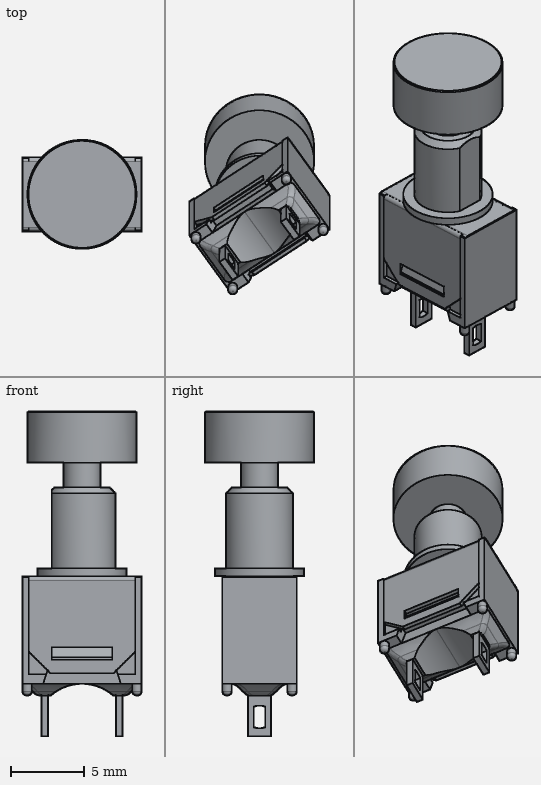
import cadquery as cq


TOTAL_HEIGHT = 22.16
BODY_WIDTH = 8.13
BODY_DEPTH = 5.08
BODY_TOP = 7.35

FRAME_TOP_THICKNESS = 0.08
FRAME_PLATE_THICKNESS = 0.28
FRAME_BEND_RADIUS = 0.3
FRAME_PLATE_WIDTH = 7.28
FRAME_PLATE_BOTTOM = 0.74
FRAME_CORNER_CUT = 1.47
WINDOW_WIDTH = 4.1
WINDOW_BOTTOM = 1.66
WINDOW_HEIGHT = 0.83

LIP_TOP = 0.67
LATCH_NOSE_HEIGHT = 0.15
LATCH_DEPTH = 0.24
NOTCH_DEPTH = 0.75
NOTCH_HEIGHT = 1.0
NOTCH_HALF_WIDTH_BOTTOM = 2.65
NOTCH_HALF_WIDTH_TOP = 2.33
PEG_DIAMETER = 0.65
PEG_LENGTH = 0.8
PEG_TIP_RADIUS = 0.3

MOUND_TOP_SECTION = (0.0, 3.9, 1.8)
MOUND_FLARE_SECTION = (0.2, 3.68, 1.45)
MOUND_STEP_SECTION = (0.49, 3.38, 1.17)
MOUND_BULGE_SECTION = (0.7, 3.17, 0.93)
MOUND_BOTTOM_SECTION = (0.8, 2.9, 0.8)
MOUND_CORNER_RADIUS = 0.33
ARCH_RADIUS = 3.25

TERMINAL_PITCH = 5.08
TERMINAL_THICKNESS = 0.46
TERMINAL_WIDTH = 1.57
TERMINAL_BOTTOM = -3.58
TERMINAL_INSERTION = 2.0
SLOT_WIDTH = 0.76
SLOT_BOTTOM = -3.02
SLOT_TOP = -1.49
SLOT_END_RISE = 0.07

FLANGE_DIAMETER = 6.1
FLANGE_THICKNESS = 0.53
BUSHING_DIAMETER = 4.6
BUSHING_TOP = 13.4
BUSHING_CHAMFER = 0.42
BUSHING_FLAT_OFFSET = 2.075

PLUNGER_DIAMETER = 2.54
CAP_DIAMETER = 7.45
CAP_HEIGHT = 3.5
CAP_CHAMFER = 0.08
CAP_SOCKET_DEPTH = 1.75

CAP_TOP = TOTAL_HEIGHT + TERMINAL_BOTTOM
FLANGE_TOP = BODY_TOP + FLANGE_THICKNESS
BASE_TOP = BODY_TOP - FRAME_TOP_THICKNESS
FRONT_Y = -BODY_DEPTH / 2
RECESS_Y = FRONT_Y + FRAME_PLATE_THICKNESS
CAP_BOTTOM = CAP_TOP - CAP_HEIGHT
SIDES = (-1, 1)


def block(width, depth, bottom, top):
    """Upright box centred on the Z axis."""
    return cq.Workplane("XY").workplane(offset=bottom).rect(width, depth).extrude(top - bottom)


def front_plate_blank():
    """Front plate outline with its two lower corners cut at 45 degrees."""
    half = FRAME_PLATE_WIDTH / 2
    return (
        cq.Workplane("XZ", origin=(0, RECESS_Y, 0))
        .moveTo(-half, BASE_TOP)
        .lineTo(-half, FRAME_PLATE_BOTTOM + FRAME_CORNER_CUT)
        .lineTo(-half + FRAME_CORNER_CUT, FRAME_PLATE_BOTTOM)
        .lineTo(half - FRAME_CORNER_CUT, FRAME_PLATE_BOTTOM)
        .lineTo(half, FRAME_PLATE_BOTTOM + FRAME_CORNER_CUT)
        .lineTo(half, BASE_TOP)
        .close()
        .extrude(FRAME_PLATE_THICKNESS)
    )


def window_prism():
    """Latch window through the front plate."""
    return (
        cq.Workplane("XY")
        .box(WINDOW_WIDTH, FRAME_PLATE_THICKNESS, WINDOW_HEIGHT, centered=(True, False, False))
        .translate((0, FRONT_Y, WINDOW_BOTTOM))
    )


def latch():
    """Wedge on the base that fills the window: a slope running out to a flat nose."""
    return (
        cq.Workplane("YZ", origin=(-WINDOW_WIDTH / 2, 0, 0))
        .moveTo(RECESS_Y, WINDOW_BOTTOM)
        .lineTo(RECESS_Y - LATCH_DEPTH, WINDOW_BOTTOM)
        .lineTo(RECESS_Y - LATCH_DEPTH, WINDOW_BOTTOM + LATCH_NOSE_HEIGHT)
        .lineTo(RECESS_Y, WINDOW_BOTTOM + WINDOW_HEIGHT)
        .close()
        .extrude(WINDOW_WIDTH)
    )


def lip_notch():
    """Tapered gap in the front lip of the base."""
    return (
        cq.Workplane("XZ", origin=(0, FRONT_Y + NOTCH_DEPTH, 0))
        .moveTo(-NOTCH_HALF_WIDTH_BOTTOM, 0)
        .lineTo(NOTCH_HALF_WIDTH_BOTTOM, 0)
        .lineTo(NOTCH_HALF_WIDTH_TOP, NOTCH_HEIGHT)
        .lineTo(-NOTCH_HALF_WIDTH_TOP, NOTCH_HEIGHT)
        .close()
        .extrude(NOTCH_DEPTH)
    )


def on_both_faces(shape):
    """The shape at the front together with its copy turned round to the back."""
    return shape.union(shape.rotate((0, 0, 0), (0, 0, 1), 180))


def mound_section(depth, half_width, half_depth):
    """Rounded rectangle at a given depth below the base."""
    outline = cq.Sketch().rect(2 * half_width, 2 * half_depth).vertices().fillet(MOUND_CORNER_RADIUS)
    return outline.moved(cq.Location(cq.Vector(0, 0, -depth)))


def mound_tier(*sections):
    """Smooth solid through a run of mound sections."""
    return cq.Workplane("XY").placeSketch(*[mound_section(*section) for section in sections]).loft()


def mound():
    """Two-tier sealing mound with an arch between the terminals."""
    upper_tier = mound_tier(MOUND_TOP_SECTION, MOUND_FLARE_SECTION, MOUND_STEP_SECTION)
    lower_tier = mound_tier(MOUND_STEP_SECTION, MOUND_BULGE_SECTION, MOUND_BOTTOM_SECTION)
    arch = (
        cq.Workplane("XZ", origin=(0, BODY_DEPTH / 2, 0))
        .center(0, -ARCH_RADIUS)
        .circle(ARCH_RADIUS)
        .extrude(BODY_DEPTH)
    )
    return upper_tier.union(lower_tier).cut(arch)


def peg(x, y):
    """Locating peg with a rounded tip."""
    return (
        cq.Workplane("XY", origin=(x, y, -PEG_LENGTH))
        .circle(PEG_DIAMETER / 2)
        .extrude(PEG_LENGTH)
        .faces("<Z")
        .edges()
        .fillet(PEG_TIP_RADIUS)
    )


def make_terminal(x):
    """Flat solder terminal with a wire slot."""
    blade = block(TERMINAL_THICKNESS, TERMINAL_WIDTH, TERMINAL_BOTTOM, TERMINAL_INSERTION)
    half = SLOT_WIDTH / 2
    slot = (
        cq.Workplane("YZ", origin=(-TERMINAL_THICKNESS / 2, 0, 0))
        .moveTo(-half, SLOT_BOTTOM + SLOT_END_RISE)
        .threePointArc((0, SLOT_BOTTOM), (half, SLOT_BOTTOM + SLOT_END_RISE))
        .lineTo(half, SLOT_TOP - SLOT_END_RISE)
        .threePointArc((0, SLOT_TOP), (-half, SLOT_TOP - SLOT_END_RISE))
        .close()
        .extrude(TERMINAL_THICKNESS)
    )
    return blade.cut(slot).translate((x, 0, 0))


def make_frame():
    """Top sheet with bent edges and a plate down the front and back."""
    top_sheet = block(BODY_WIDTH, BODY_DEPTH, BASE_TOP, BODY_TOP)
    plate = front_plate_blank().cut(window_prism())
    bend_envelope = block(BODY_WIDTH, BODY_DEPTH, 0, BODY_TOP).edges("|X and >Z").fillet(FRAME_BEND_RADIUS)
    return top_sheet.union(on_both_faces(plate)).intersect(bend_envelope)


def make_base(terminals):
    """Insulating base with recesses for the frame plates, latches, pegs and sealing mound."""
    base = block(BODY_WIDTH, BODY_DEPTH, 0, BASE_TOP)
    plate_recess = (
        cq.Workplane("XY")
        .box(FRAME_PLATE_WIDTH, FRAME_PLATE_THICKNESS, BASE_TOP - LIP_TOP, centered=(True, False, False))
        .translate((0, FRONT_Y, LIP_TOP))
    )
    base = base.cut(on_both_faces(plate_recess)).cut(on_both_faces(lip_notch()))
    base = base.union(on_both_faces(latch())).union(mound())
    peg_x = (BODY_WIDTH - PEG_DIAMETER) / 2
    peg_y = (BODY_DEPTH - PEG_DIAMETER) / 2
    for side_x in SIDES:
        for side_y in SIDES:
            base = base.union(peg(side_x * peg_x, side_y * peg_y))
    for terminal in terminals:
        base = base.cut(terminal)
    return base


def make_bushing():
    """Flanged bushing with one flat on the -X side and a bore for the plunger."""
    barrel = (
        cq.Workplane("XY", origin=(0, 0, FLANGE_TOP))
        .circle(BUSHING_DIAMETER / 2)
        .extrude(BUSHING_TOP - FLANGE_TOP)
        .faces(">Z")
        .chamfer(BUSHING_CHAMFER)
    )
    flat_cut = block(BUSHING_DIAMETER, BUSHING_DIAMETER, FLANGE_TOP, BUSHING_TOP).translate(
        (-BUSHING_FLAT_OFFSET - BUSHING_DIAMETER / 2, 0, 0)
    )
    flange = cq.Workplane("XY", origin=(0, 0, BODY_TOP)).circle(FLANGE_DIAMETER / 2).extrude(FLANGE_THICKNESS)
    bore = (
        cq.Workplane("XY", origin=(0, 0, BODY_TOP))
        .circle(PLUNGER_DIAMETER / 2)
        .extrude(BUSHING_TOP - BODY_TOP)
    )
    return barrel.cut(flat_cut).union(flange).cut(bore)


def make_plunger():
    """Round rod from the frame up into the cap."""
    length = CAP_BOTTOM + CAP_SOCKET_DEPTH - BODY_TOP
    return cq.Workplane("XY", origin=(0, 0, BODY_TOP)).circle(PLUNGER_DIAMETER / 2).extrude(length)


def make_cap(plunger):
    """Round push button with a socket for the plunger."""
    cap = (
        cq.Workplane("XY", origin=(0, 0, CAP_BOTTOM))
        .circle(CAP_DIAMETER / 2)
        .extrude(CAP_HEIGHT)
        .faces(">Z")
        .chamfer(CAP_CHAMFER)
    )
    return cap.cut(plunger)


terminals = [make_terminal(side * TERMINAL_PITCH / 2) for side in SIDES]
frame = make_frame()
base = make_base(terminals)
bushing = make_bushing()
plunger = make_plunger()
cap = make_cap(plunger)

result = cq.Compound.makeCompound(
    [
        frame.val(),
        base.val(),
        bushing.val(),
        plunger.val(),
        cap.val(),
        *[terminal.val() for terminal in terminals],
    ]
)